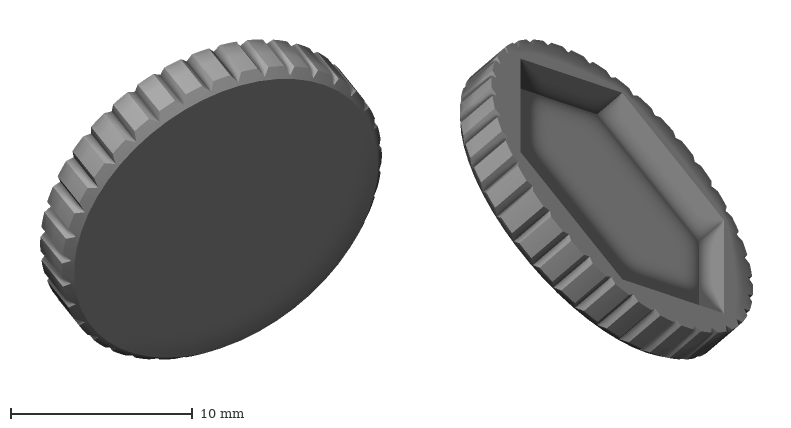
import cadquery as cq

outer_diameter = 20.0
thickness = 3.0
rim_chamfer = 0.5

hex_sides = 6
hex_corner_diameter = 18.0
hex_depth = 2.0

groove_count = 36
groove_side = 0.5

outer_radius = outer_diameter / 2
groove_pitch = 360 / groove_count


def make_disc():
    """Plain disc from X = 0 to X = thickness with its +X edge chamfered."""
    disc = cq.Workplane("YZ").circle(outer_radius).extrude(thickness)
    return disc.faces(">X").edges().chamfer(rim_chamfer)


def make_hex_pocket():
    """Hexagonal prism with corners pointing along +Z and -Z."""
    hexagon = cq.Sketch().regularPolygon(hex_corner_diameter / 2, hex_sides)
    return cq.Workplane("YZ").placeSketch(hexagon).extrude(hex_depth)


def make_rim_grooves():
    """Square bars whose inner corners cut right-angled V grooves, with a tooth centred on each axis."""
    bars = (
        cq.Sketch()
        .parray(outer_radius, groove_pitch / 2, 360, groove_count)
        .rect(groove_side, groove_side, angle=45)
    )
    return cq.Workplane("YZ").placeSketch(bars).extrude(thickness)


result = make_disc().cut(make_hex_pocket()).cut(make_rim_grooves())